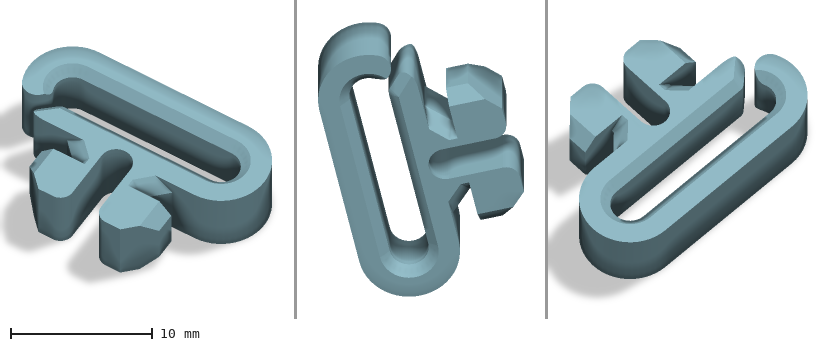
import cadquery as cq
import math

length = 19.59
height = 12.6
thickness = 5.0

outer_radius = 3.6
inner_radius = 1.4
rim_chamfer = 0.7
cut_margin = 0.1
end_x = length / 2 - outer_radius

hook_angle = 23.3
lip_angle = 13.3
lip_tip_radius = 0.67
lip_corner_x = -5.95

leg_bottom = outer_radius - height
slot_half = 1.2
slot_top = -2.9
leg_fillet = 1.0
leg_chamfer = 1.0
head_half = 5.4
head_top = -5.39
head_slant = 2.0
neck_half = 2.8
brace_half = 4.39


def polar(center, radius, degrees):
    angle = math.radians(degrees)
    return (center[0] + radius * math.cos(angle), center[1] + radius * math.sin(angle))


def plate(sketch):
    """Extrude an outline through the thickness, centred on Z = 0."""
    return sketch.extrude(thickness / 2, both=True)


left_center = (-end_x, 0)
lip_corner = (lip_corner_x, -inner_radius - rim_chamfer)
lip_direction = 270 - lip_angle
lip_center = polar(left_center, outer_radius - lip_tip_radius, lip_direction)

slant_run = lip_center[0] - lip_corner[0]
slant_rise = lip_center[1] - lip_corner[1]
slant_bearing = 180 + math.degrees(math.atan(slant_rise / slant_run))
radius_drop = rim_chamfer - lip_tip_radius
lip_normal = slant_bearing - math.degrees(math.acos(radius_drop / math.hypot(slant_run, slant_rise)))
lip_slope = lip_normal - 90


def make_ring():
    hook_radius = (outer_radius - inner_radius) / 2
    hook_direction = 180 + hook_angle
    hook_center = polar(left_center, inner_radius + hook_radius, hook_direction)
    lip_middle = (lip_normal + lip_direction) / 2
    outline = (
        cq.Workplane("XY")
        .moveTo(*polar(left_center, outer_radius, lip_direction))
        .threePointArc(polar(left_center, outer_radius, 270 - lip_angle / 2), (-end_x, -outer_radius))
        .lineTo(end_x, -outer_radius)
        .threePointArc((length / 2, 0), (end_x, outer_radius))
        .lineTo(-end_x, outer_radius)
        .threePointArc((-length / 2, 0), polar(left_center, outer_radius, hook_direction))
        .threePointArc(
            polar(hook_center, hook_radius, hook_direction + 90),
            polar(left_center, inner_radius, hook_direction),
        )
        .threePointArc(polar(left_center, inner_radius, 135), (-end_x, inner_radius))
        .lineTo(end_x, inner_radius)
        .threePointArc((end_x + inner_radius, 0), (end_x, -inner_radius))
        .lineTo(lip_corner_x, -inner_radius)
        .threePointArc(
            polar(lip_corner, rim_chamfer, 90 + lip_slope / 2),
            polar(lip_corner, rim_chamfer, lip_normal),
        )
        .lineTo(*polar(lip_center, lip_tip_radius, lip_normal))
        .threePointArc(
            polar(lip_center, lip_tip_radius, lip_middle),
            polar(left_center, outer_radius, lip_direction),
        )
        .close()
    )
    return plate(outline)


def make_rim_cutter():
    """Flared opening that bevels the upper inside rim of the ring."""
    rim_radius = inner_radius + rim_chamfer
    return (
        cq.Workplane("XY", origin=(0, 0, thickness / 2))
        .slot2D(2 * (end_x + rim_radius), 2 * rim_radius)
        .extrude(-rim_chamfer, taper=45)
    )


def make_lip_cutter():
    """Bevel that carries the rim round the lip corner and down its slant."""
    bevel_size = rim_chamfer + cut_margin
    bevel = [
        (0, thickness / 2),
        (bevel_size, thickness / 2),
        (bevel_size, thickness / 2 - bevel_size),
    ]
    normal = (*polar((0, 0), 1, lip_normal), 0)
    up_slant = (*polar((0, 0), 1, lip_normal - 90), 0)
    bevel_plane = cq.Plane(origin=(*lip_corner, 0), xDir=normal, normal=up_slant)
    slant_cut = cq.Workplane(bevel_plane).polyline(bevel).close().extrude(-outer_radius)
    corner_cut = cq.Workplane(bevel_plane).polyline(bevel).close().revolve(lip_slope, (0, 0), (0, -1))
    return slant_cut.union(corner_cut)


def chamfer_side(body, direction):
    """Chamfer the upper and lower edges of the side facing a direction."""
    side = body.faces(cq.DirectionMinMaxSelector(cq.Vector(*direction)))
    return side.edges("#Z").chamfer(leg_chamfer)


def make_leg():
    """Right leg: a braced neck carrying a wedge-shaped head."""
    brace_size = brace_half - slot_half
    brace_points = [
        (slot_half, -outer_radius),
        (brace_half, -outer_radius),
        (slot_half, -outer_radius - brace_size),
    ]
    head_points = [
        (slot_half, head_top),
        (head_half, head_top),
        (head_half, leg_bottom + head_slant),
        (head_half - head_slant, leg_bottom),
        (slot_half, leg_bottom),
    ]
    neck_size = (neck_half - slot_half, -outer_radius - head_top)
    neck = plate(cq.Workplane("XY").moveTo(slot_half, head_top).rect(*neck_size, centered=False))
    brace = plate(cq.Workplane("XY").polyline(brace_points).close())
    head = plate(cq.Workplane("XY").polyline(head_points).close())
    head = chamfer_side(head, (1, 0, 0)).edges("|Z and <X and <Y").fillet(leg_fillet)
    return head.union(chamfer_side(neck, (1, 0, 0))).union(chamfer_side(brace, (1, -1, 0)))


def make_slot():
    """Round-topped slot between the legs."""
    arc_y = slot_top - slot_half
    outline = (
        cq.Workplane("XY")
        .moveTo(-slot_half, leg_bottom)
        .lineTo(-slot_half, arc_y)
        .threePointArc((0, slot_top), (slot_half, arc_y))
        .lineTo(slot_half, leg_bottom)
        .close()
    )
    return plate(outline)


def make_web():
    """Bridge between the legs around the round slot end."""
    web_bottom = slot_top - slot_half
    web_size = (2 * slot_half, -outer_radius - web_bottom)
    return plate(cq.Workplane("XY").moveTo(-slot_half, web_bottom).rect(*web_size, centered=False))


rim_cutter = make_rim_cutter()
lip_cutter = make_lip_cutter()
ring = make_ring()
for cutter in (rim_cutter, lip_cutter):
    ring = ring.cut(cutter).cut(cutter.mirror("XY"))

leg = make_leg()
result = ring.union(leg).union(leg.mirror("YZ")).union(make_web()).cut(make_slot())